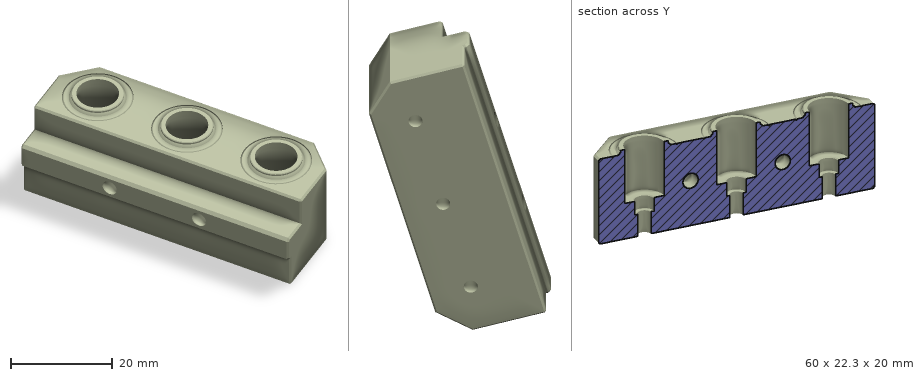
import cadquery as cq

LENGTH = 60.0
DEPTH = 22.25
BODY_HEIGHT = 19.0
EDGE_CHAMFER = 0.4
CORNER_CUT = 6.0

UPPER_DEPTH = 16.75
RAIL_OVERHANG = 1.0
RAIL_BOTTOM = 7.1
RAIL_TOP = 12.9
RAIL_CHAMFER = 0.6

CROSS_HOLE_DIAMETER = 3.2
CROSS_HOLE_PITCH = 20.0
CROSS_HOLE_HEIGHT = 10.0

PORT_COUNT = 3
PORT_PITCH = 20.0
PORT_SETBACK = 8.45

GROOVE_DIAMETER = 14.2
GROOVE_SIZE = 0.3

COLLAR_DIAMETER = 10.45
COLLAR_HEIGHT = 1.0
COLLAR_FLARE = 0.5
COLLAR_TOP_CHAMFER = 0.15

BORE_DIAMETER = 8.45
BORE_DEPTH = 12.0
PASSAGE_DIAMETER = 4.1
PASSAGE_CHAMFER = 0.2
PASSAGE_DEPTH = 3.0
OUTLET_DIAMETER = 2.8
OUTLET_CHAMFER = 0.15

END_X = LENGTH / 2
BACK_Y = DEPTH / 2
RAIL_Y = -DEPTH / 2
LOWER_Y = RAIL_Y + RAIL_OVERHANG
UPPER_Y = BACK_Y - UPPER_DEPTH
PORT_Y = BACK_Y - PORT_SETBACK
TOP_Z = BODY_HEIGHT + COLLAR_HEIGHT
BORE_FLOOR_Z = TOP_Z - BORE_DEPTH
PASSAGE_FLOOR_Z = BORE_FLOOR_Z - PASSAGE_DEPTH
TOLERANCE = 0.001


def plan_prism(front_y, bottom, top):
    """Upright prism from the back face to front_y, with both back corners cut off."""
    outline = [
        (-END_X, front_y),
        (END_X, front_y),
        (END_X, BACK_Y - CORNER_CUT),
        (END_X - CORNER_CUT, BACK_Y),
        (-END_X + CORNER_CUT, BACK_Y),
        (-END_X, BACK_Y - CORNER_CUT),
    ]
    return cq.Workplane("XY", origin=(0, 0, bottom)).polyline(outline).close().extrude(top - bottom)


def is_sharp(edge):
    """True for the upright edges where the cut corners meet the ends; these stay unchamfered."""
    center = edge.Center()
    on_cut = abs(center.y - (BACK_Y - CORNER_CUT)) < TOLERANCE
    return on_cut and edge.geomType() == "LINE" and abs(edge.tangentAt(0).z) > 1 - TOLERANCE


def make_body():
    """Stepped block with chamfers along the rail front and around its ends, top and bottom."""
    lower = plan_prism(LOWER_Y, 0, RAIL_TOP)
    rail = plan_prism(RAIL_Y, RAIL_BOTTOM, RAIL_TOP)
    upper = plan_prism(UPPER_Y, 0, BODY_HEIGHT)
    body = lower.union(rail).union(upper).clean()
    body = body.faces("<Y").edges("|X").chamfer(RAIL_CHAMFER)
    outer_edges = body.faces("<X or >X or <Z or >Z").edges()
    return outer_edges.filter(lambda edge: not is_sharp(edge)).chamfer(EDGE_CHAMFER)


def port_x_positions():
    first = -PORT_PITCH * (PORT_COUNT - 1) / 2
    return [first + index * PORT_PITCH for index in range(PORT_COUNT)]


def revolve_at_port(x, profile):
    """Revolve a closed (radius, z) profile about the upright axis of the port at x."""
    turned = cq.Workplane("XZ").polyline(profile).close().revolve(360, (0, 0, 0), (0, 1, 0))
    return turned.translate((x, PORT_Y, 0))


def make_groove(x):
    outer = GROOVE_DIAMETER / 2
    profile = [
        (outer, BODY_HEIGHT),
        (outer, BODY_HEIGHT - GROOVE_SIZE),
        (outer - GROOVE_SIZE, BODY_HEIGHT),
    ]
    return revolve_at_port(x, profile)


def make_collar(x):
    radius = COLLAR_DIAMETER / 2
    profile = [
        (0, BODY_HEIGHT),
        (radius + COLLAR_FLARE, BODY_HEIGHT),
        (radius, BODY_HEIGHT + COLLAR_FLARE),
        (radius, TOP_Z - COLLAR_TOP_CHAMFER),
        (radius - COLLAR_TOP_CHAMFER, TOP_Z),
        (0, TOP_Z),
    ]
    return revolve_at_port(x, profile)


def make_port_bore(x):
    bore = BORE_DIAMETER / 2
    passage = PASSAGE_DIAMETER / 2
    outlet = OUTLET_DIAMETER / 2
    profile = [
        (0, TOP_Z),
        (bore, TOP_Z),
        (bore, BORE_FLOOR_Z),
        (passage + PASSAGE_CHAMFER, BORE_FLOOR_Z),
        (passage, BORE_FLOOR_Z - PASSAGE_CHAMFER),
        (passage, PASSAGE_FLOOR_Z),
        (outlet + OUTLET_CHAMFER, PASSAGE_FLOOR_Z),
        (outlet, PASSAGE_FLOOR_Z - OUTLET_CHAMFER),
        (outlet, 0),
        (0, 0),
    ]
    return revolve_at_port(x, profile)


def add_ports(body):
    for x in port_x_positions():
        body = body.cut(make_groove(x)).union(make_collar(x)).cut(make_port_bore(x))
    return body


def cut_cross_holes(body):
    for x in (-CROSS_HOLE_PITCH / 2, CROSS_HOLE_PITCH / 2):
        drill = cq.Workplane("XZ", origin=(x, BACK_Y, CROSS_HOLE_HEIGHT))
        body = body.cut(drill.circle(CROSS_HOLE_DIAMETER / 2).extrude(DEPTH))
    return body


result = cut_cross_holes(add_ports(make_body()))